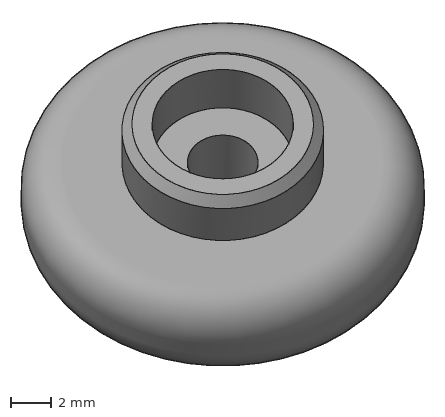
import cadquery as cq

disc_diameter = 20
disc_height = 5
rim_radius = 2

hub_diameter = 10
total_height = 8
hub_height = total_height - disc_height
hub_chamfer = 0.5

pocket_diameter = 7
pocket_depth = hub_height
hole_diameter = 3.5

disc = (
    cq.Workplane("XY")
    .circle(disc_diameter / 2)
    .extrude(disc_height)
    .edges()
    .fillet(rim_radius)
)

hub = (
    cq.Workplane("XY")
    .workplane(offset=disc_height)
    .circle(hub_diameter / 2)
    .extrude(hub_height)
    .faces(">Z")
    .chamfer(hub_chamfer)
)

result = (
    disc.union(hub)
    .faces(">Z")
    .workplane()
    .cboreHole(hole_diameter, pocket_diameter, pocket_depth)
)